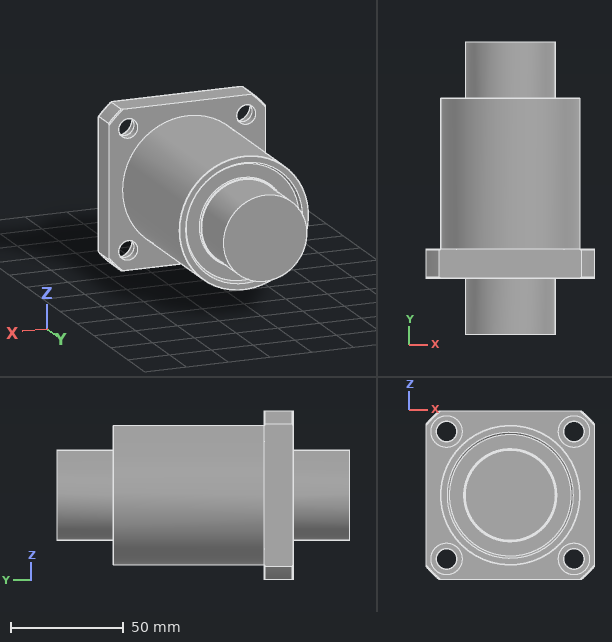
import cadquery as cq

shaft_diameter = 40.0
shaft_length = 130.0

sleeve_diameter = 62.0
sleeve_length = 80.0
sleeve_front = (shaft_length - sleeve_length) / 2
sleeve_chamfer = 0.2

flange_width = 75.0
flange_thickness = 13.0
flange_disc_diameter = 98.0
flange_chamfer = 0.5

hole_pitch_circle = 80.0
hole_diameter = 9.0
counterbore_diameter = 14.0
counterbore_depth = 8.6

recess_mouth_diameter = 56.0
recess_floor_diameter = 54.0
recess_depth = 1.7
lip_diameter = 41.4
lip_height = 1.0
lip_taper = 0.3


def cylinder(diameter, start, length):
    """Cylinder along +Y around the part axis."""
    plane = cq.Workplane("XZ", origin=(0, start, 0))
    return plane.circle(diameter / 2).extrude(-length)


def revolve_about_axis(outline):
    """Full turn of a (radius, Y) outline around the part axis."""
    return cq.Workplane("XY").polyline(outline).close().revolve(360, (0, 0, 0), (0, 1, 0))


def make_flange():
    """Chamfered disc trimmed to a square, leaving rounded corners."""
    disc = cylinder(flange_disc_diameter, sleeve_front, flange_thickness)
    disc = disc.faces("|Y").edges().chamfer(flange_chamfer)
    square = (
        cq.Workplane("XZ", origin=(0, sleeve_front, 0))
        .rect(flange_width, flange_width)
        .extrude(-flange_thickness)
    )
    return disc.intersect(square)


def make_sleeve():
    """Plain cylinder with its back edge chamfered."""
    sleeve = cylinder(sleeve_diameter, sleeve_front, sleeve_length)
    return sleeve.faces(">Y").edges().chamfer(sleeve_chamfer)


def cut_mounting_holes(body):
    """Four through holes, counterbored from the front of the flange."""
    hole_spacing = hole_pitch_circle / 2**0.5
    return (
        body.copyWorkplane(cq.Workplane("XZ", origin=(0, sleeve_front, 0)))
        .rect(hole_spacing, hole_spacing, forConstruction=True)
        .vertices()
        .cboreHole(hole_diameter, counterbore_diameter, counterbore_depth, flange_thickness)
    )


def make_seal_recess():
    """Tapered recess to remove at the front end of the sleeve."""
    floor = sleeve_front + recess_depth
    outline = [
        (0, sleeve_front),
        (recess_mouth_diameter / 2, sleeve_front),
        (recess_floor_diameter / 2, floor),
        (0, floor),
    ]
    return revolve_about_axis(outline)


def make_seal_lip():
    """Lip rising from the recess floor, narrowing towards the front."""
    floor = sleeve_front + recess_depth
    tip = floor - lip_height
    base_radius = lip_diameter / 2
    outline = [
        (0, floor),
        (base_radius, floor),
        (base_radius - lip_taper, tip),
        (0, tip),
    ]
    return revolve_about_axis(outline)


def make_joint_groove():
    """Groove left where the chamfered front of the sleeve meets the flange bore."""
    radius = sleeve_diameter / 2
    outline = [
        (radius - sleeve_chamfer, sleeve_front),
        (radius, sleeve_front),
        (radius, sleeve_front + sleeve_chamfer),
    ]
    return revolve_about_axis(outline)


def add_at_both_ends(feature):
    """The feature together with its mirror image at the back end of the sleeve."""
    return feature.union(feature.mirror("XZ", (0, shaft_length / 2, 0)))


body = make_flange().union(make_sleeve())
body = cut_mounting_holes(body)
body = body.cut(make_joint_groove())
body = body.cut(add_at_both_ends(make_seal_recess()))

body = body.union(add_at_both_ends(make_seal_lip()))

result = body.union(cylinder(shaft_diameter, 0, shaft_length))